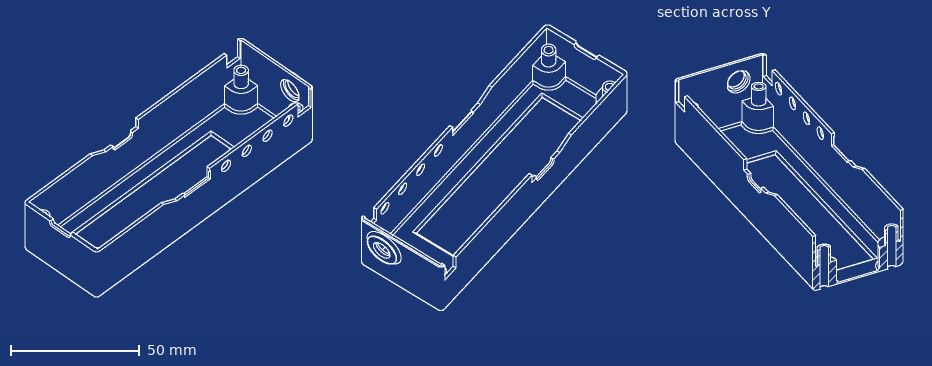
import cadquery as cq

width = 40.0
total_length = 123.0
collar_length = 1.6
body_length = total_length - collar_length
side_wall = 1.5
back_wall = 1.5
front_wall = 2.0
floor_thickness = 1.0
outer_radius = 2.0
rim_chamfer = 0.4
base_chamfer = 0.9

back_height = 30.3
notch_height = 20.4
high_height = 27.5
step_height = 22.8
front_height = 26.1

notch_back_y = body_length - outer_radius
notch_front_y = 112.2
step_y = 62.9
ramp_low_y = 44.9
ramp_high_y = 37.4

window_width = 22.6
window_front_y = 14.4
window_back_y = 96.0
window_flare = 1.1

boss_radius = 5.4
boss_top = 11.6
pin_diameter = 5.7
pin_top = 18.8
screw_diameter = 3.5
boss_to_wall_x = 3.7
boss_to_wall_y = 3.7
boss_x = width / 2 - side_wall - boss_to_wall_x
boss_front_y = front_wall + boss_to_wall_y
boss_back_y = body_length - back_wall - boss_to_wall_y

collar_x = 8.0
collar_z = 20.9
collar_diameter = 14.0
collar_lip = 0.4
bore_diameter = 10.0
bore_end_diameter = 8.0
bore_depth = 1.5

button_diameter = 5.0
button_count = 4
button_pitch = 11.6
button_first_y = 72.1
button_z = 22.3

latch_width = 10.6
latch_corner_radius = 1.5
latch_flare = 0.4
latch_flare_depth = 0.6
side_latch_y = 54.2
side_latch_z = 20.2
front_latch_z = 24.2

port_front_y = 49.5
port_bottom_z = 22.0
port_height = 3.5
port_flare = 0.5

inner_width = width - 2 * side_wall
inner_length = body_length - front_wall - back_wall
inner_center_y = front_wall + inner_length / 2


def make_room():
    """Plain block that fills the space between the four walls."""
    return (
        cq.Workplane("XY", origin=(0, inner_center_y, floor_thickness))
        .rect(inner_width, inner_length)
        .extrude(back_height)
    )


def make_shell():
    """Rounded box, hollowed out, with a sloped edge all round the floor."""
    shell = (
        cq.Workplane("XY")
        .center(0, body_length / 2)
        .rect(width, body_length)
        .extrude(back_height)
        .edges("|Z").fillet(outer_radius)
        .faces("<Z").edges().fillet(outer_radius)
        .faces(">Z").edges(">Y").chamfer(rim_chamfer)
    )
    cavity = make_room().faces("<Z").edges().chamfer(base_chamfer)
    return shell.cut(cavity)


def make_rim_cut():
    """Space above the side and front walls, cut straight across the body."""
    above_rim = 2 * back_height
    in_front = -front_wall
    return (
        cq.Workplane("YZ", origin=(-width, 0, 0))
        .polyline([
            (notch_back_y, above_rim),
            (notch_back_y, notch_height),
            (notch_front_y, notch_height),
            (notch_front_y, high_height),
            (step_y, high_height),
            (step_y, step_height),
            (ramp_low_y, step_height),
            (ramp_high_y, front_height),
            (in_front, front_height),
            (in_front, above_rim),
        ])
        .close()
        .extrude(2 * width)
    )


def make_window():
    """Floor opening that widens upwards."""
    length = window_back_y - window_front_y
    center_y = (window_front_y + window_back_y) / 2
    return (
        cq.Workplane("XY", origin=(0, center_y, 0))
        .rect(window_width, length)
        .workplane(offset=floor_thickness)
        .rect(window_width + 2 * window_flare, length + 2 * window_flare)
        .loft(ruled=True)
    )


def corner_block(x, y, radius, x_side, y_side):
    """Outline of a boss: round towards the middle, reaching into the two corner walls."""
    reach_x = boss_to_wall_x + base_chamfer
    reach_y = boss_to_wall_y + base_chamfer
    return (
        cq.Workplane("XY", origin=(x, y, floor_thickness))
        .moveTo(-x_side * radius, y_side * reach_y)
        .lineTo(-x_side * radius, 0)
        .radiusArc((0, -y_side * radius), -x_side * y_side * radius)
        .lineTo(x_side * reach_x, -y_side * radius)
        .lineTo(x_side * reach_x, y_side * reach_y)
        .close()
    )


def make_boss(x, y, x_side, y_side):
    """Corner boss with a sloped foot and a pin on top."""
    block = corner_block(x, y, boss_radius, x_side, y_side).extrude(boss_top - floor_thickness)
    foot = corner_block(x, y, boss_radius + base_chamfer, x_side, y_side).extrude(base_chamfer, taper=45)
    pin = (
        cq.Workplane("XY", origin=(x, y, floor_thickness))
        .circle(pin_diameter / 2)
        .extrude(pin_top - floor_thickness)
    )
    return block.union(foot).intersect(make_room()).union(pin)


def make_collar():
    """Collar that narrows to a short straight lip behind the back wall."""
    cone_length = collar_length - collar_lip
    lip_radius = collar_diameter / 2
    return (
        cq.Workplane("XY", origin=(collar_x, body_length, collar_z))
        .polyline([
            (0, -back_wall / 2),
            (lip_radius + cone_length, -back_wall / 2),
            (lip_radius + cone_length, 0),
            (lip_radius, cone_length),
            (lip_radius, collar_length),
            (0, collar_length),
        ])
        .close()
        .revolve(360, (0, 0, 0), (0, 1, 0))
    )


def cylinder_along_y(diameter, y_start, y_end):
    """Cylinder on the collar axis."""
    return (
        cq.Workplane("XZ", origin=(collar_x, y_end, collar_z))
        .circle(diameter / 2)
        .extrude(y_end - y_start)
    )


def make_latch_notch(outer_plane, depth):
    """Round-cornered rim notch, open at the top, flared on the outer face."""
    def outline(margin):
        return (
            cq.Sketch()
            .push([(0, (back_height - margin) / 2)])
            .rect(latch_width + 2 * margin, back_height + margin)
            .reset()
            .vertices("<Y").fillet(latch_corner_radius + margin)
        )

    through = cq.Workplane(outer_plane).placeSketch(outline(0)).extrude(depth)
    inner_end = cq.Location(cq.Vector(0, 0, latch_flare_depth))
    flare = (
        cq.Workplane(outer_plane)
        .placeSketch(outline(latch_flare), outline(0).moved(inner_end))
        .loft(ruled=True)
    )
    return through.union(flare)


def make_port():
    """Rectangular port through the +X wall, flared on the outer face."""
    length = step_y - port_front_y
    center = (width / 2, (step_y + port_front_y) / 2, port_bottom_z + port_height / 2)
    plane = cq.Plane(origin=center, xDir=(0, -1, 0), normal=(-1, 0, 0))
    flare = (
        cq.Workplane(plane)
        .rect(length + 2 * port_flare, port_height + 2 * port_flare)
        .workplane(offset=port_flare)
        .rect(length, port_height)
        .loft(ruled=True)
    )
    through = cq.Workplane(plane).rect(length, port_height).extrude(2 * side_wall)
    return through.union(flare)


result = make_shell().cut(make_rim_cut()).cut(make_window()).union(make_collar())

screw_points = []
for x_side in (-1, 1):
    for y, y_side in ((boss_front_y, -1), (boss_back_y, 1)):
        result = result.union(make_boss(x_side * boss_x, y, x_side, y_side))
        screw_points.append((x_side * boss_x, y))

result = result.cut(
    cq.Workplane("XY").pushPoints(screw_points).circle(screw_diameter / 2).extrude(back_height)
)

bore_step_y = body_length - back_wall + bore_depth
result = result.cut(cylinder_along_y(bore_diameter, body_length - 2 * back_wall, bore_step_y))
result = result.cut(cylinder_along_y(bore_end_diameter, bore_step_y, total_length))

button_points = [(button_first_y + i * button_pitch, button_z) for i in range(button_count)]
result = result.cut(
    cq.Workplane("YZ", origin=(inner_width / 4, 0, 0))
    .pushPoints(button_points)
    .circle(button_diameter / 2)
    .extrude(width)
)

side_plane = cq.Plane(origin=(-width / 2, side_latch_y, side_latch_z), xDir=(0, 1, 0), normal=(1, 0, 0))
front_plane = cq.Plane(origin=(0, 0, front_latch_z), xDir=(-1, 0, 0), normal=(0, 1, 0))
result = result.cut(make_latch_notch(side_plane, 2 * side_wall))
result = result.cut(make_latch_notch(front_plane, 2 * front_wall))
result = result.cut(make_port())